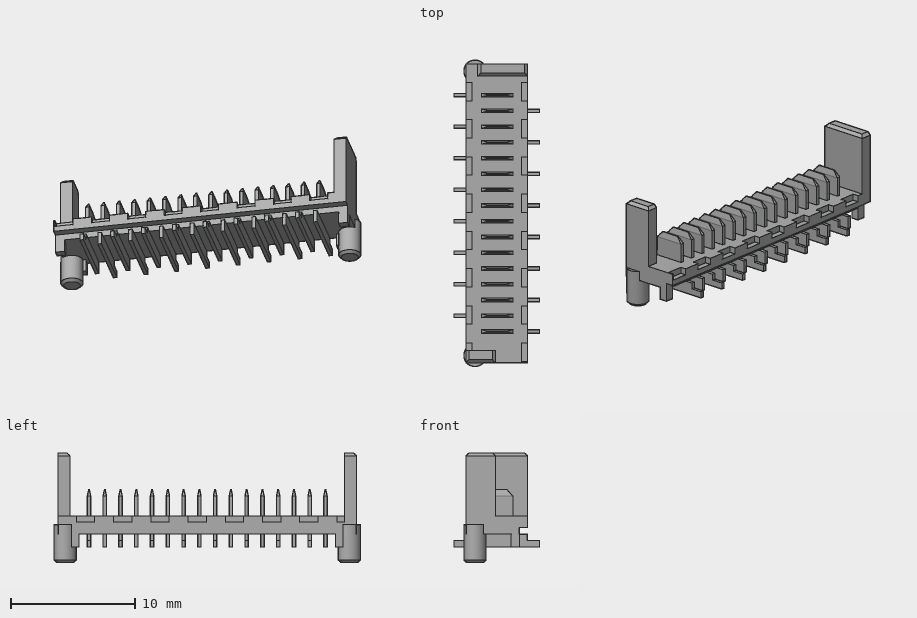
import cadquery as cq


HOUSING_WIDTH = 5.0
HOUSING_LENGTH = 24.1
HOUSING_BOTTOM = 1.05
HOUSING_TOP = 2.52
SIDE_X = HOUSING_WIDTH / 2
END_Y = HOUSING_LENGTH / 2

UNDERCUT_INNER_X = 1.83
UNDERCUT_TOP = 1.55

POCKET_COUNT = 8
POCKET_SPAN = 21.0
POCKET_LENGTH = 1.48
POCKET_DEPTH_X = 0.52
POCKET_FLOOR = 2.0
FIRST_POCKET_END_Y = 10.55

WALL_TOP = 7.59
WALL_THICKNESS = 1.0
WALL_CHAMFER = 0.25
FRONT_WALL_WIDTH = 2.4
REAR_WALL_WIDTH = 4.03

OVERALL_LENGTH = 24.7
PEG_DIAMETER = 1.8
PEG_X = -1.75
PEG_Y = (OVERALL_LENGTH - PEG_DIAMETER) / 2
PEG_TOP = 1.8
PEG_BOTTOM = -1.25
PEG_CHAMFER = 0.22

FOOT_WIDTH = 0.67
PEG_FOOT_INNER_Y = 10.33
END_FOOT_LENGTH = 0.75

CONTACT_COUNT = 16
CONTACT_SPAN = 19.05
CONTACT_THICKNESS = 0.3
CONTACT_BASE_X = 2.47
TAIL_SPREAD = 6.9
TAIL_END_X = TAIL_SPREAD / 2
TAIL_TOP = 0.55
BLADE_WIDTH = 2.55
BLADE_X = 0.02
BLADE_SHOULDER = 4.1
BLADE_TIP = 4.62
TIP_WIDTH = 1.6
TIP_THICKNESS = 0.07


def block(x_range, y_range, z_range):
    """Box between the given limits."""
    limits = (x_range, y_range, z_range)
    size = [high - low for low, high in limits]
    corner = [low for low, high in limits]
    return cq.Workplane("XY").box(*size, centered=False).translate(tuple(corner))


def make_housing():
    housing = block((-SIDE_X, SIDE_X), (-END_Y, END_Y), (HOUSING_BOTTOM, HOUSING_TOP))
    pocket_pitch = POCKET_SPAN / (POCKET_COUNT - 1)
    inner_x = SIDE_X - POCKET_DEPTH_X
    for index in range(POCKET_COUNT):
        end_y = FIRST_POCKET_END_Y - index * pocket_pitch
        pocket_y = (end_y - POCKET_LENGTH, end_y)
        for pocket_x in ((-SIDE_X, -inner_x), (inner_x, SIDE_X)):
            housing = housing.cut(block(pocket_x, pocket_y, (POCKET_FLOOR, HOUSING_TOP)))
    return housing


def make_wall(x_range, y_range):
    """Upright end wall, chamfered at the top except along its +Y edge."""
    wall = block(x_range, y_range, (HOUSING_BOTTOM, WALL_TOP))
    return wall.faces(">Z").edges("|Y or <Y").chamfer(WALL_CHAMFER)


def make_peg(y):
    peg = cq.Workplane("XY", origin=(PEG_X, y, PEG_BOTTOM)).circle(PEG_DIAMETER / 2)
    return peg.extrude(PEG_TOP - PEG_BOTTOM).faces("<Z").chamfer(PEG_CHAMFER)


def make_feet():
    """Feet at the -Y end; the +Y end has their mirror image."""
    foot_z = (0, HOUSING_BOTTOM)
    peg_foot = block((-SIDE_X, FOOT_WIDTH - SIDE_X), (-PEG_Y, -PEG_FOOT_INNER_Y), foot_z)
    end_foot_x = (UNDERCUT_INNER_X - FOOT_WIDTH, UNDERCUT_INNER_X)
    end_foot = block(end_foot_x, (-END_Y, END_FOOT_LENGTH - END_Y), foot_z)
    return [peg_foot, end_foot]


def make_contact(y, side):
    """Contact with its solder tail towards side (-1 for -X, +1 for +X)."""
    contact_y = (y - CONTACT_THICKNESS / 2, y + CONTACT_THICKNESS / 2)
    base = block((-CONTACT_BASE_X, CONTACT_BASE_X), contact_y, (0, HOUSING_BOTTOM))
    tail = block(sorted((0, side * TAIL_END_X)), contact_y, (0, TAIL_TOP))
    blade_x = (BLADE_X - BLADE_WIDTH / 2, BLADE_X + BLADE_WIDTH / 2)
    blade = block(blade_x, contact_y, (HOUSING_BOTTOM, BLADE_SHOULDER))
    tip = (
        cq.Workplane("XY", origin=(BLADE_X, y, BLADE_SHOULDER))
        .rect(BLADE_WIDTH, CONTACT_THICKNESS)
        .workplane(offset=BLADE_TIP - BLADE_SHOULDER)
        .rect(TIP_WIDTH, TIP_THICKNESS)
        .loft(ruled=True)
    )
    return base.union(tail).union(blade).union(tip)


result = make_housing()

front_wall = make_wall((-SIDE_X, FRONT_WALL_WIDTH - SIDE_X), (-END_Y, WALL_THICKNESS - END_Y))
rear_wall = make_wall((SIDE_X - REAR_WALL_WIDTH, SIDE_X), (END_Y - WALL_THICKNESS, END_Y))
undercut = block((UNDERCUT_INNER_X, SIDE_X), (-END_Y, END_Y), (HOUSING_BOTTOM, UNDERCUT_TOP))
result = result.union(front_wall).union(rear_wall).cut(undercut)

for peg_y in (-PEG_Y, PEG_Y):
    result = result.union(make_peg(peg_y))

for foot in make_feet():
    result = result.union(foot).union(foot.mirror("XZ"))

contact_pitch = CONTACT_SPAN / (CONTACT_COUNT - 1)
for index in range(CONTACT_COUNT):
    tail_side = -1 if index % 2 == 0 else 1
    result = result.union(make_contact(CONTACT_SPAN / 2 - index * contact_pitch, tail_side))